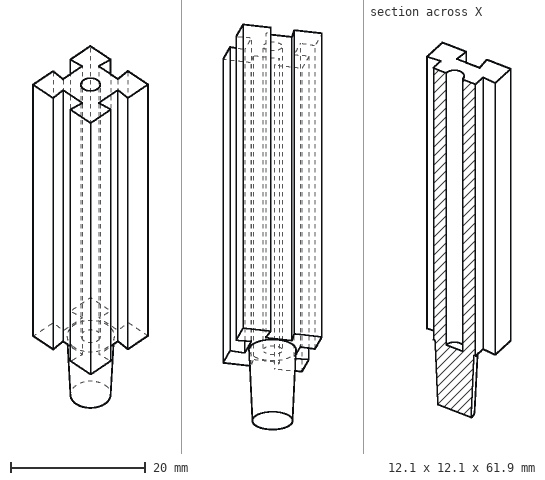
import cadquery as cq

total_length = 61.9
side = 12.1
body_length = 50.2
slot_mouth_width = 3.6
slot_floor_width = 4.0
slot_depth = 2.3
bore_diameter = 2.85
pin_top_diameter = 7.0
pin_tip_diameter = 6.0

pin_length = total_length - body_length
half_side = side / 2
slot_floor = half_side - slot_depth


def make_slot(angle):
    """Full-length slot, slightly wider at its floor, turned to one face of the bar."""
    slot = (
        cq.Workplane("XY")
        .workplane(offset=pin_length)
        .polyline([
            (-slot_floor_width / 2, slot_floor),
            (slot_floor_width / 2, slot_floor),
            (slot_mouth_width / 2, half_side),
            (-slot_mouth_width / 2, half_side),
        ])
        .close()
        .extrude(body_length)
    )
    return slot.rotate((0, 0, 0), (0, 0, 1), angle)


def make_body():
    """Square bar with a slot in each face and a central bore along its length."""
    body = (
        cq.Workplane("XY")
        .workplane(offset=pin_length)
        .rect(side, side)
        .extrude(body_length)
    )
    for angle in (0, 90, 180, 270):
        body = body.cut(make_slot(angle))
    return body.faces(">Z").workplane().hole(bore_diameter, body_length)


def make_pin():
    """Solid pin tapering downward to a flat tip."""
    pin = (
        cq.Workplane("XY")
        .circle(pin_tip_diameter / 2)
        .workplane(offset=pin_length)
        .circle(pin_top_diameter / 2)
        .loft()
    )
    return pin


result = make_body().union(make_pin())